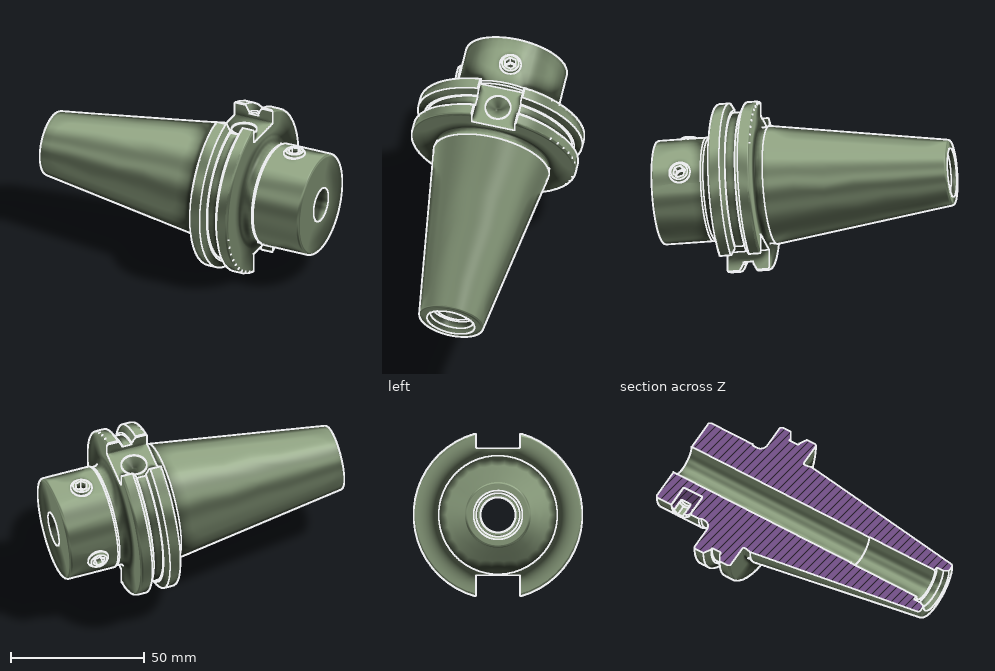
import cadquery as cq
import math

TOTAL_LENGTH = 111.2

GAUGE_X = 68.2
GAUGE_DIAMETER = 44.5
TAPER_RATIO = 7 / 24
TAPER_TIP_FILLET = 1.0

RELIEF_DIAMETER = 43.6
RELIEF_START_X = 70.0
RELIEF_FILLET = 0.6

FLANGE_START_X = 71.4
FLANGE_WIDTH = 15.9
FLANGE_DIAMETER = 63.4
FLANGE_EDGE_FILLET = 1.0
GROOVE_DIAMETER = 56.3
GROOVE_FLOOR_WIDTH = 3.8
GROOVE_TOP_WIDTH = 7.0
GROOVE_HALF_ANGLE = 30.0

NECK_DIAMETER = 38.0
NECK_FLANGE_FILLET = 2.9
NOSE_DIAMETER = 39.0
NOSE_START_X = 92.3
NOSE_RISE_ANGLE = 30.0
NOSE_EDGE_FILLET = 1.0

FRONT_BORE_DIAMETER = 13.0
REAR_BORE_DIAMETER = 13.4
REAR_BORE_END_X = 33.4
COUNTERBORE_DIAMETER = 16.4
COUNTERBORE_DEPTH = 4.7
MOUTH_DIAMETER = 18.4
MOUTH_DEPTH = 1.9

SLOT_WIDTH = 16.5
UPPER_SLOT_FLOOR_Z = 25.0
LOWER_SLOT_FLOOR_Z = 22.7
SLOT_FLOOR_FILLET = 0.6
SLOT_EDGE_CHAMFER = 0.39

DIMPLE_DIAMETER = 9.6
DIMPLE_TIP_ANGLE = 118.0
DIMPLE_RIM_DEPTH = 0.5

SCREW_X = TOTAL_LENGTH - 11.0
SCREW_DIAMETER = 8.0
SCREW_TOP_DIAMETER = 6.3
SCREW_CHAMFER_HEIGHT = 1.0
SCREW_TOP_RADIUS = 20.6
SCREW_LENGTH = 10.0
HEX_ACROSS_FLATS = 4.0
HEX_DEPTH = 4.0
PILOT_DIAMETER = 4.0
PILOT_DEPTH = 5.0
HEX_TURN = 15.0

SCREW_DIRECTIONS = [0.0, -90.0]

FLANGE_END_X = FLANGE_START_X + FLANGE_WIDTH
FLANGE_MIDDLE_X = FLANGE_START_X + FLANGE_WIDTH / 2
FLANGE_RADIUS = FLANGE_DIAMETER / 2


def point_on_arc(center_x, center_r, radius, angle):
    """Point on a circle in the half-section, at an angle in degrees from +X."""
    turn = math.radians(angle)
    return (center_x + radius * math.cos(turn), center_r + radius * math.sin(turn))


def blank():
    """Outer shape of the holder, turned about X."""
    gauge_r = GAUGE_DIAMETER / 2
    tip_r = gauge_r - GAUGE_X * TAPER_RATIO / 2
    taper_angle = math.degrees(math.atan(TAPER_RATIO / 2))

    tip_fillet_r = (
        tip_r
        + TAPER_TIP_FILLET * TAPER_RATIO / 2
        - TAPER_TIP_FILLET / math.cos(math.radians(taper_angle))
    )
    tip_tangent_angle = 90 + taper_angle
    tip_center = (TAPER_TIP_FILLET, tip_fillet_r)

    relief_r = RELIEF_DIAMETER / 2
    neck_r = NECK_DIAMETER / 2
    nose_r = NOSE_DIAMETER / 2
    edge = FLANGE_EDGE_FILLET
    edge_r = FLANGE_RADIUS - edge

    groove_r = GROOVE_DIAMETER / 2
    slope_width = (GROOVE_TOP_WIDTH - GROOVE_FLOOR_WIDTH) / 2
    slope_foot_r = FLANGE_RADIUS - slope_width / math.tan(math.radians(GROOVE_HALF_ANGLE))
    groove_top = GROOVE_TOP_WIDTH / 2
    groove_floor = GROOVE_FLOOR_WIDTH / 2

    rise_start_x = NOSE_START_X - (nose_r - neck_r) / math.tan(math.radians(NOSE_RISE_ANGLE))

    nose_edge = NOSE_EDGE_FILLET
    profile = (
        cq.Workplane("XY")
        .moveTo(0, 0)
        .lineTo(0, tip_fillet_r)
        .threePointArc(
            point_on_arc(*tip_center, TAPER_TIP_FILLET, (180 + tip_tangent_angle) / 2),
            point_on_arc(*tip_center, TAPER_TIP_FILLET, tip_tangent_angle),
        )
        .lineTo(GAUGE_X, gauge_r)
        .lineTo(RELIEF_START_X, relief_r)
        .lineTo(FLANGE_START_X - RELIEF_FILLET, relief_r)
        .threePointArc(
            point_on_arc(FLANGE_START_X - RELIEF_FILLET, relief_r + RELIEF_FILLET, RELIEF_FILLET, -45),
            (FLANGE_START_X, relief_r + RELIEF_FILLET),
        )
        .lineTo(FLANGE_START_X, edge_r)
        .threePointArc(
            point_on_arc(FLANGE_START_X + edge, edge_r, edge, 135),
            (FLANGE_START_X + edge, FLANGE_RADIUS),
        )
        .lineTo(FLANGE_MIDDLE_X - groove_top, FLANGE_RADIUS)
        .lineTo(FLANGE_MIDDLE_X - groove_floor, slope_foot_r)
        .lineTo(FLANGE_MIDDLE_X - groove_floor, groove_r)
        .lineTo(FLANGE_MIDDLE_X + groove_floor, groove_r)
        .lineTo(FLANGE_MIDDLE_X + groove_floor, slope_foot_r)
        .lineTo(FLANGE_MIDDLE_X + groove_top, FLANGE_RADIUS)
        .lineTo(FLANGE_END_X - edge, FLANGE_RADIUS)
        .threePointArc(
            point_on_arc(FLANGE_END_X - edge, edge_r, edge, 45),
            (FLANGE_END_X, edge_r),
        )
        .lineTo(FLANGE_END_X, neck_r + NECK_FLANGE_FILLET)
        .threePointArc(
            point_on_arc(
                FLANGE_END_X + NECK_FLANGE_FILLET,
                neck_r + NECK_FLANGE_FILLET,
                NECK_FLANGE_FILLET,
                -135,
            ),
            (FLANGE_END_X + NECK_FLANGE_FILLET, neck_r),
        )
        .lineTo(rise_start_x, neck_r)
        .lineTo(NOSE_START_X, nose_r)
        .lineTo(TOTAL_LENGTH - nose_edge, nose_r)
        .threePointArc(
            point_on_arc(TOTAL_LENGTH - nose_edge, nose_r - nose_edge, nose_edge, 45),
            (TOTAL_LENGTH, nose_r - nose_edge),
        )
        .lineTo(TOTAL_LENGTH, 0)
        .close()
    )
    return profile.revolve(360, (0, 0, 0), (1, 0, 0))


def bore():
    """Two-step through bore with a counterbore and a conical mouth at the taper end."""
    return (
        cq.Workplane("XY")
        .moveTo(0, 0)
        .lineTo(0, MOUTH_DIAMETER / 2)
        .lineTo(MOUTH_DEPTH, COUNTERBORE_DIAMETER / 2)
        .lineTo(COUNTERBORE_DEPTH, COUNTERBORE_DIAMETER / 2)
        .lineTo(COUNTERBORE_DEPTH, REAR_BORE_DIAMETER / 2)
        .lineTo(REAR_BORE_END_X, REAR_BORE_DIAMETER / 2)
        .lineTo(REAR_BORE_END_X, FRONT_BORE_DIAMETER / 2)
        .lineTo(TOTAL_LENGTH, FRONT_BORE_DIAMETER / 2)
        .lineTo(TOTAL_LENGTH, 0)
        .close()
        .revolve(360, (0, 0, 0), (1, 0, 0))
    )


def drive_slot(floor_z):
    """Upward slot across the flange, flaring where its walls meet the rim."""
    half_width = SLOT_WIDTH / 2
    flare_half_width = half_width + SLOT_EDGE_CHAMFER
    flare_start_z = math.sqrt(FLANGE_RADIUS**2 - half_width**2) - SLOT_EDGE_CHAMFER
    flare_end_z = math.sqrt(FLANGE_RADIUS**2 - flare_half_width**2)
    outline = [
        (-half_width, floor_z),
        (half_width, floor_z),
        (half_width, flare_start_z),
        (flare_half_width, flare_end_z),
        (flare_half_width, FLANGE_RADIUS),
        (-flare_half_width, FLANGE_RADIUS),
        (-flare_half_width, flare_end_z),
        (-half_width, flare_start_z),
    ]
    return (
        cq.Workplane("YZ", origin=(FLANGE_START_X, 0, 0))
        .polyline(outline)
        .close()
        .extrude(FLANGE_WIDTH)
    )


def dimple():
    """Dimple in the floor of the upper slot: a short cylinder ending in a cone, point down."""
    radius = DIMPLE_DIAMETER / 2
    rim_z = UPPER_SLOT_FLOOR_Z - DIMPLE_RIM_DEPTH
    tip_z = rim_z - radius / math.tan(math.radians(DIMPLE_TIP_ANGLE / 2))
    return (
        cq.Workplane("XZ", origin=(FLANGE_MIDDLE_X, 0, 0))
        .moveTo(0, tip_z)
        .lineTo(radius, rim_z)
        .lineTo(radius, UPPER_SLOT_FLOOR_Z)
        .lineTo(0, UPPER_SLOT_FLOOR_Z)
        .close()
        .revolve(360, (0, 0, 0), (0, 1, 0))
    )


def aim_screw(shape, direction):
    """Turn an upright screw shape about the X axis to its radial direction."""
    return shape.rotate((0, 0, 0), (1, 0, 0), direction)


def screw_blank():
    """Upright screw without its socket, which is also the shape of its hole."""
    bottom_z = SCREW_TOP_RADIUS - SCREW_LENGTH
    radius = SCREW_DIAMETER / 2
    return (
        cq.Workplane("XZ", origin=(SCREW_X, 0, 0))
        .moveTo(0, bottom_z)
        .lineTo(radius, bottom_z)
        .lineTo(radius, SCREW_TOP_RADIUS - SCREW_CHAMFER_HEIGHT)
        .lineTo(SCREW_TOP_DIAMETER / 2, SCREW_TOP_RADIUS)
        .lineTo(0, SCREW_TOP_RADIUS)
        .close()
        .revolve(360, (0, 0, 0), (0, 1, 0))
    )


def make_set_screw(direction):
    """Set screw with a hexagonal socket and a round pilot hole below it."""
    hex_corner_diameter = HEX_ACROSS_FLATS / math.cos(math.pi / 6)
    socket = (
        cq.Workplane("XY", origin=(SCREW_X, 0, SCREW_TOP_RADIUS - HEX_DEPTH))
        .transformed(rotate=(0, 0, HEX_TURN))
        .polygon(6, hex_corner_diameter)
        .extrude(HEX_DEPTH)
    )
    pilot = (
        cq.Workplane("XY", origin=(SCREW_X, 0, SCREW_TOP_RADIUS - PILOT_DEPTH))
        .circle(PILOT_DIAMETER / 2)
        .extrude(PILOT_DEPTH - HEX_DEPTH)
    )
    return aim_screw(screw_blank().cut(socket).cut(pilot), direction)


def make_holder():
    """Tool holder with its bore, drive slots, dimple and screw holes."""
    upper_slot = drive_slot(UPPER_SLOT_FLOOR_Z).edges("|X and <Z").fillet(SLOT_FLOOR_FILLET)
    lower_slot = drive_slot(LOWER_SLOT_FLOOR_Z).mirror("XY")
    holder = blank().cut(bore()).cut(upper_slot).cut(lower_slot).cut(dimple())
    for direction in SCREW_DIRECTIONS:
        holder = holder.cut(aim_screw(screw_blank(), direction))
    return holder


holder = make_holder()
set_screws = [make_set_screw(direction) for direction in SCREW_DIRECTIONS]

result = cq.Compound.makeCompound([holder.val(), *[screw.val() for screw in set_screws]])